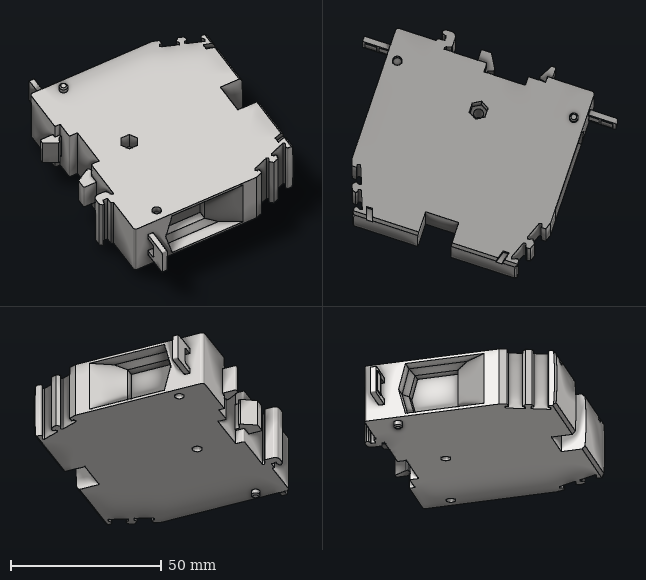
import cadquery as cq
import math


PICK = 0.1

THICKNESS = 20.5
HALF_LENGTH = 34.9
TOP = 65.1
SHOULDER = 46.9
LOWER_CORNER_RADIUS = 1.1
FACE_Z = THICKNESS / 2

CROWN_RISE = 0.4
TOP_BEVEL_Y = 0.95
TOP_BEVEL_Z = 1.0
END_BEVEL_X = 0.65
TOP_CORNER_X = 28.9
TOP_CORNER_Y = 62.8

NOTCH_WIDTH = 11.6
NOTCH_FLOOR = 56.5

GROOVE_TOP = (-26.15, 62.15)
GROOVE_PITCH = (-2.95, -8.05)
LIP_BASE = (-0.95, 0.35)
LIP_CREST = (-0.4, 0.4)
GROOVE_END = (-2.2, -5.65)
GROOVE_ARC_MID = (-2.75, -5.95)
GROOVE_EXIT = (-3.35, -5.5)
NOSE_MID = (-28.6, 62.2)
NOSE_END = (-28.0, 62.0)
TOOTH_ARC_MID = (-29.6, 57.3)
TOOTH_CREST = (-30.1, 57.6)
TOOTH_SHOULDER = (-31.25, 57.3)
TOOTH_TIP = (-32.1, 55.2)
TOOTH_UNDERSIDE = (-30.95, 53.95)
LEDGE_Y = 49.4
LEDGE_INNER_X = -32.4
LEDGE_OUTER_X = -34.0

SLOT_WIDTH = 2.1
SLOT_LEAN = 1.25
SLOT_BOTTOM = 61.0
SLOT_BOTTOM_X = 25.0
SLOT_DEPTH = 2.0
SLOT_FLOOR_BEVEL = 1.5
SLOT_FLOOR_DROP = 0.4

RAIL_LEFT_STEP = -18.2
RAIL_LEFT = -12.05
RAIL_RIGHT = 2.4
RAIL_HOOK = 17.4
RAIL_SEAT = 2.0
RAIL_ROOF = 5.1
RAIL_CORNER_RADIUS = 0.5

FOOT_WIDTH = 9.9
FOOT_BOTTOM = TOP - 70.0
FOOT_RADIUS = 0.5

TAB_END = 44.5
TAB_BOTTOM = 5.1
TAB_TOP = 7.05
TAB_EMBED = 1.0
TAB_CORNER_RADIUS = 0.6
TAB_WINDOW_END = 38.6
TAB_WINDOW_WIDTH = 6.0
TAB_WINDOW_RADIUS = 0.6
TAB_PLATE_LENGTH = 4.1
TAB_PLATE_WIDTH = 7.3
TAB_PLATE_HEIGHT = 0.25
TAB_PLATE_CENTRE = 41.4

PIN_X = 31.0
PIN_Y = 10.7
PIN_DIAMETER = 2.9
PIN_HEIGHT = 2.0
PIN_CHAMFER = 0.5
SOCKET_DIAMETER = 3.1
SOCKET_DEPTH = 2.5

SCREW_Y = 18.1
SCREW_DIAMETER = 3.3
NUT_ACROSS_FLATS = 5.5
NUT_DEPTH = 6.0

ENTRY_TOP = 41.7
ENTRY_STEP = 30.7
ENTRY_MOUTH_HALF = 9.2
ENTRY_MOUTH_SIDE = 14.4
ENTRY_MOUTH_POINT = 12.0
ENTRY_FLOOR_HALF = 7.55
ENTRY_FLOOR_SIDE = 15.8
ENTRY_FLOOR_POINT = 13.8
ENTRY_STRAIGHT_DEPTH = 4.2
ENTRY_STEP_DEPTH = 6.5
ENTRY_DEPTH = 9.5


def slab(sketch, width):
    """Extrude a closed XY outline to a width centred on Z = 0."""
    return sketch.extrude(width / 2, both=True)


def mirrored(shape):
    """Join a left-hand shape with its right-hand mirror image."""
    return shape.union(shape.mirror("YZ"))


def add_groove(outline, origin):
    """Continue the outline around one snap groove whose inner upper corner is origin."""
    def at(dx, dy):
        return (origin[0] + dx, origin[1] + dy)

    return (
        outline.lineTo(*at(*LIP_BASE))
        .threePointArc(at(*LIP_CREST), origin)
        .lineTo(*at(*GROOVE_END))
        .threePointArc(at(*GROOVE_ARC_MID), at(*GROOVE_EXIT))
    )


def make_housing():
    """Symmetric block with two snap grooves on each sloping shoulder."""
    second_groove = (GROOVE_TOP[0] + GROOVE_PITCH[0], GROOVE_TOP[1] + GROOVE_PITCH[1])
    outline = (
        cq.Workplane("XY")
        .moveTo(0, TOP)
        .lineTo(-TOP_CORNER_X, TOP)
        .lineTo(-TOP_CORNER_X, TOP_CORNER_Y)
        .threePointArc(NOSE_MID, NOSE_END)
    )
    outline = add_groove(outline, GROOVE_TOP)
    outline = (
        outline.threePointArc(TOOTH_ARC_MID, TOOTH_CREST)
        .lineTo(*TOOTH_SHOULDER)
        .lineTo(*TOOTH_TIP)
        .lineTo(*TOOTH_UNDERSIDE)
    )
    outline = add_groove(outline, second_groove)
    half = (
        outline.lineTo(LEDGE_INNER_X, LEDGE_Y)
        .lineTo(LEDGE_OUTER_X, LEDGE_Y)
        .lineTo(-HALF_LENGTH, SHOULDER)
        .lineTo(-HALF_LENGTH, LOWER_CORNER_RADIUS)
        .radiusArc((-HALF_LENGTH + LOWER_CORNER_RADIUS, 0), -LOWER_CORNER_RADIUS)
        .lineTo(0, 0)
        .close()
    )
    return mirrored(slab(half, THICKNESS))


def shape_top(housing):
    """Crown the top edge across the thickness and bevel its borders."""
    rim = TOP - CROWN_RISE
    crowned = (
        cq.Workplane("YZ")
        .moveTo(0, -FACE_Z)
        .lineTo(rim, -FACE_Z)
        .threePointArc((TOP, 0), (rim, FACE_Z))
        .lineTo(0, FACE_Z)
        .close()
        .extrude(HALF_LENGTH, both=True)
    )
    housing = housing.intersect(crowned)
    for side in (-1, 1):
        end = cq.selectors.BoxSelector(
            (side * (TOP_CORNER_X - PICK), rim - PICK, -FACE_Z),
            (side * (TOP_CORNER_X + PICK), TOP + PICK, FACE_Z),
        )
        housing = housing.edges(end).chamfer(END_BEVEL_X, END_BEVEL_X)
    bevel_reach = TOP_BEVEL_Z * (1 + CROWN_RISE / TOP_BEVEL_Y)
    bevel = (
        cq.Workplane("YZ")
        .moveTo(rim - TOP_BEVEL_Y, FACE_Z)
        .lineTo(TOP, FACE_Z - bevel_reach)
        .lineTo(TOP, FACE_Z)
        .close()
        .extrude(HALF_LENGTH, both=True)
    )
    return housing.cut(bevel).cut(bevel.mirror("XY"))


def cut_notch(housing):
    """Cut the square notch in the middle of the top edge."""
    depth = TOP - NOTCH_FLOOR
    notch = cq.Workplane("XY").center(0, TOP - depth / 2).rect(NOTCH_WIDTH, depth)
    return housing.cut(slab(notch, THICKNESS))


def cut_slanted_slots(housing):
    """Cut leaning slots in the upper face, their floors falling away at the top edge."""
    top_x = -SLOT_BOTTOM_X + SLOT_LEAN
    slot = (
        cq.Workplane("XY")
        .workplane(offset=FACE_Z - SLOT_DEPTH - SLOT_FLOOR_DROP)
        .polyline([
            (-SLOT_BOTTOM_X, SLOT_BOTTOM),
            (-SLOT_BOTTOM_X + SLOT_WIDTH, SLOT_BOTTOM),
            (top_x + SLOT_WIDTH, TOP),
            (top_x, TOP),
        ])
        .close()
        .extrude(SLOT_DEPTH + SLOT_FLOOR_DROP)
    )
    floor = FACE_Z - SLOT_DEPTH
    side_profile = (
        cq.Workplane("YZ")
        .polyline([
            (SLOT_BOTTOM, FACE_Z),
            (SLOT_BOTTOM, floor),
            (TOP - SLOT_FLOOR_BEVEL, floor),
            (TOP, floor - SLOT_FLOOR_DROP),
            (TOP, FACE_Z),
        ])
        .close()
        .extrude(HALF_LENGTH, both=True)
    )
    return housing.cut(mirrored(slot.intersect(side_profile)))


def cut_rail_recess(housing):
    """Cut the stepped mounting-rail recess through the lower edge."""
    recess = (
        cq.Workplane("XY")
        .polyline([
            (RAIL_LEFT_STEP, 0),
            (RAIL_LEFT_STEP, RAIL_SEAT),
            (RAIL_LEFT, RAIL_SEAT),
            (RAIL_LEFT, RAIL_ROOF),
            (RAIL_RIGHT, RAIL_ROOF),
            (RAIL_RIGHT, RAIL_SEAT),
            (RAIL_HOOK, RAIL_SEAT),
            (RAIL_HOOK, 0),
        ])
        .close()
        .extrude(FACE_Z, both=True)
    )
    for x in (RAIL_LEFT, RAIL_RIGHT):
        corner = cq.selectors.BoxSelector(
            (x - PICK, RAIL_SEAT - PICK, -FACE_Z), (x + PICK, RAIL_SEAT + PICK, FACE_Z)
        )
        recess = recess.edges(corner).fillet(RAIL_CORNER_RADIUS)
    return housing.cut(recess)


def make_fixed_hook():
    """Hook at the right of the rail recess, as thick as the housing."""
    left = 15.1
    bottom = -4.5
    slot_left = 18.2
    slot_top = -0.85
    slot_bottom = -2.5
    root_right = 20.9
    barb = [(RAIL_HOOK, 1.4), (16.9, 1.0), (15.3, 0.5), (left, 0.1)]
    toe = [(19.05, bottom), (20.0, -3.55), (19.8, -2.9), (18.6, slot_bottom)]
    hook = (
        cq.Workplane("XY")
        .polyline([(RAIL_HOOK, RAIL_SEAT)] + barb)
        .lineTo(left, -2.8)
        .threePointArc((15.6, -4.0), (16.8, bottom))
        .polyline(toe, includeCurrent=True)
        .lineTo(slot_left, slot_bottom)
        .lineTo(slot_left, slot_top)
        .lineTo(20.45, slot_top)
        .lineTo(root_right, 0)
        .lineTo(root_right, RAIL_SEAT)
        .close()
    )
    return slab(hook, THICKNESS)


def make_left_foot():
    """Barbed foot at the left of the rail recess, in the middle of the thickness."""
    outer = -19.6
    neck = -17.4
    tip = -15.4
    barb = [(-18.0, FOOT_BOTTOM), (tip, -0.2), (tip, 0.4), (-17.1, 0.9), (neck, 1.3)]
    foot = (
        cq.Workplane("XY")
        .moveTo(outer, 0)
        .lineTo(outer, FOOT_BOTTOM + FOOT_RADIUS)
        .radiusArc((outer + FOOT_RADIUS, FOOT_BOTTOM), -FOOT_RADIUS)
        .polyline(barb, includeCurrent=True)
        .lineTo(neck, RAIL_SEAT)
        .lineTo(RAIL_LEFT_STEP, RAIL_SEAT)
        .lineTo(RAIL_LEFT_STEP, 0)
        .close()
    )
    return slab(foot, FOOT_WIDTH)


def make_middle_foot():
    """Barbed foot at the step of the recess, facing left."""
    bottom = -2.9
    neck = 1.6
    right = 6.05
    barb = [(neck, 3.4), (-0.3, 2.85), (-0.45, 2.1), (2.4, bottom)]
    foot = (
        cq.Workplane("XY")
        .polyline([(neck, RAIL_ROOF)] + barb)
        .lineTo(right - FOOT_RADIUS, bottom)
        .radiusArc((right, bottom + FOOT_RADIUS), -FOOT_RADIUS)
        .lineTo(right, RAIL_ROOF)
        .close()
    )
    return slab(foot, FOOT_WIDTH)


def make_tabs():
    """Windowed marking tabs at both ends, each with a thin raised plate."""
    inner = HALF_LENGTH - TAB_EMBED
    length = TAB_END - inner
    thickness = TAB_TOP - TAB_BOTTOM
    mid_height = (TAB_TOP + TAB_BOTTOM) / 2
    tab = (
        cq.Workplane("XY")
        .box(length, thickness, FOOT_WIDTH)
        .edges("<X and |Y")
        .fillet(TAB_CORNER_RADIUS)
        .translate((-(TAB_END + inner) / 2, mid_height, 0))
    )
    window_length = TAB_WINDOW_END - HALF_LENGTH
    window = (
        cq.Workplane("XY")
        .box(window_length, thickness, TAB_WINDOW_WIDTH)
        .edges("<X and |Y")
        .fillet(TAB_WINDOW_RADIUS)
        .translate((-(TAB_WINDOW_END + HALF_LENGTH) / 2, mid_height, 0))
    )
    plate = (
        cq.Workplane("XY")
        .box(TAB_PLATE_LENGTH, TAB_PLATE_HEIGHT, TAB_PLATE_WIDTH)
        .translate((-TAB_PLATE_CENTRE, TAB_TOP + TAB_PLATE_HEIGHT / 2, 0))
    )
    return mirrored(tab.cut(window).union(plate))


def make_pin():
    """Chamfered pin on the upper face."""
    return (
        cq.Workplane("XY")
        .workplane(offset=FACE_Z)
        .center(-PIN_X, PIN_Y)
        .circle(PIN_DIAMETER / 2)
        .extrude(PIN_HEIGHT)
        .faces(">Z")
        .chamfer(PIN_CHAMFER)
    )


def make_socket():
    """Blind hole in the upper face that takes the pin of a neighbouring block."""
    return (
        cq.Workplane("XY")
        .workplane(offset=FACE_Z)
        .center(PIN_X, PIN_Y)
        .circle(SOCKET_DIAMETER / 2)
        .extrude(-SOCKET_DEPTH)
    )


def turned_over(shape):
    """Half turn about the Y axis, giving the same feature on the opposite face."""
    return shape.rotate((0, 0, 0), (0, 1, 0), 180)


def cut_screw_hole(housing):
    """Drill the through hole and sink its hexagonal nut recess in the upper face."""
    across_corners = NUT_ACROSS_FLATS / math.cos(math.pi / 6)
    hole = slab(cq.Workplane("XY").center(0, SCREW_Y).circle(SCREW_DIAMETER / 2), THICKNESS)
    nut = (
        cq.Workplane("XY")
        .polygon(6, across_corners)
        .extrude(-NUT_DEPTH)
        .rotate((0, 0, 0), (0, 0, 1), 90)
        .translate((0, SCREW_Y, FACE_Z))
    )
    return housing.cut(hole).cut(nut)


def entry_outline(depth, top, half, side, point):
    """Five-sided pocket outline, pointed at the bottom, at a depth from the left end."""
    plane = cq.Workplane("YZ").workplane(offset=-HALF_LENGTH + depth)
    return plane.polyline([(top, -half), (side, -half), (point, 0), (side, half), (top, half)]).close()


def cut_wire_entries(housing):
    """Cut ramped pockets with a straight mouth, a tapered throat and a deeper floor."""
    mouth = (ENTRY_MOUTH_HALF, ENTRY_MOUTH_SIDE, ENTRY_MOUTH_POINT)
    floor = (ENTRY_FLOOR_HALF, ENTRY_FLOOR_SIDE, ENTRY_FLOOR_POINT)
    straight = entry_outline(0, ENTRY_TOP, *mouth).extrude(ENTRY_STRAIGHT_DEPTH)
    taper_start = entry_outline(ENTRY_STRAIGHT_DEPTH, ENTRY_TOP, *mouth).val()
    taper_end = entry_outline(ENTRY_STEP_DEPTH, ENTRY_TOP, *floor).val()
    taper = cq.Workplane(cq.Solid.makeLoft([taper_start, taper_end], True))
    ramp = (
        cq.Workplane("XY")
        .polyline([
            (-HALF_LENGTH, ENTRY_TOP),
            (-HALF_LENGTH + ENTRY_STEP_DEPTH, ENTRY_STEP),
            (-HALF_LENGTH + ENTRY_STEP_DEPTH, 0),
            (-HALF_LENGTH, 0),
        ])
        .close()
        .extrude(FACE_Z, both=True)
    )
    well = entry_outline(ENTRY_STEP_DEPTH, ENTRY_STEP, *floor).extrude(ENTRY_DEPTH - ENTRY_STEP_DEPTH)
    entry = straight.union(taper).intersect(ramp).union(well)
    return housing.cut(mirrored(entry))


body = shape_top(make_housing())
body = cut_notch(body)
body = cut_slanted_slots(body)
body = cut_rail_recess(body)
body = cut_wire_entries(body)
body = cut_screw_hole(body)
for addition in (make_fixed_hook(), make_left_foot(), make_middle_foot(), make_tabs()):
    body = body.union(addition)
body = body.union(make_pin()).union(turned_over(make_pin()))
body = body.cut(make_socket()).cut(turned_over(make_socket()))

result = body